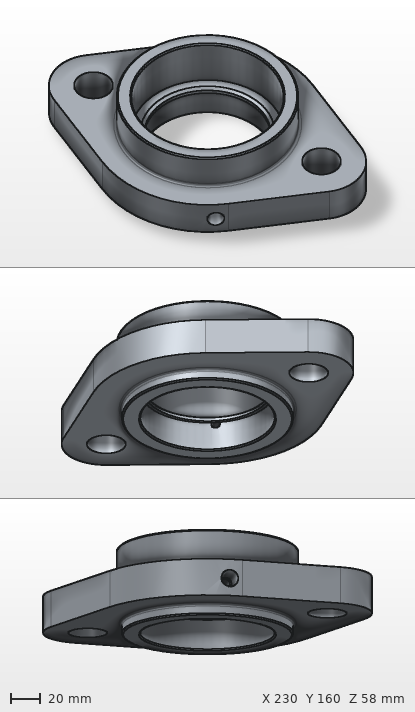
import cadquery as cq
import math

flange_thickness = 25.0
body_radius = 80.0
tip_radius = 30.0
bolt_offset = 85.0
bolt_hole_diameter = 26.0

collar_diameter = 122.0
collar_height = 25.0
spigot_diameter = 115.0
spigot_height = 8.0
root_fillet = 2.0
rim_chamfer = 1.0
top_z = flange_thickness + collar_height
bottom_z = -spigot_height

seat_diameter = 102.0
seat_depth = 33.0
bore_chamfer = 1.0
lip_diameter = 85.0
relief_diameter = 90.0
lip_chamfer_height = 1.5
lip_land_height = 2.5
seat_z = top_z - seat_depth
lip_top_z = seat_z - lip_chamfer_height
lip_bottom_z = lip_top_z - lip_land_height

port_angle = -60.0
port_z = 12.0
port_mouth_diameter = 11.45
port_inner_diameter = 8.38
port_taper_depth = 16.0
port_passage_diameter = 6.0


def make_flange():
    """Extrude the lozenge outline and drill the two bolt holes."""
    tangent_angle = math.asin((body_radius - tip_radius) / bolt_offset)
    normal_x = math.sin(tangent_angle)
    normal_y = math.cos(tangent_angle)
    body_x = body_radius * normal_x
    body_y = body_radius * normal_y
    tip_x = bolt_offset + tip_radius * normal_x
    tip_y = tip_radius * normal_y
    end_x = bolt_offset + tip_radius
    return (
        cq.Workplane("XY")
        .moveTo(-body_x, body_y)
        .threePointArc((0, body_radius), (body_x, body_y))
        .lineTo(tip_x, tip_y)
        .threePointArc((end_x, 0), (tip_x, -tip_y))
        .lineTo(body_x, -body_y)
        .threePointArc((0, -body_radius), (-body_x, -body_y))
        .lineTo(-tip_x, -tip_y)
        .threePointArc((-end_x, 0), (-tip_x, tip_y))
        .close()
        .extrude(flange_thickness)
        .pushPoints([(-bolt_offset, 0), (bolt_offset, 0)])
        .circle(bolt_hole_diameter / 2)
        .cutThruAll()
    )


def make_hub():
    """Revolve the collar and spigot, with concave fillets where they meet the flange."""
    collar_radius = collar_diameter / 2
    spigot_radius = spigot_diameter / 2
    fillet_inset = root_fillet * (1 - math.sqrt(0.5))
    return (
        cq.Workplane("XZ")
        .moveTo(0, bottom_z)
        .lineTo(spigot_radius - rim_chamfer, bottom_z)
        .lineTo(spigot_radius, bottom_z + rim_chamfer)
        .lineTo(spigot_radius, -root_fillet)
        .threePointArc((spigot_radius + fillet_inset, -fillet_inset), (spigot_radius + root_fillet, 0))
        .lineTo(collar_radius + root_fillet, flange_thickness)
        .threePointArc(
            (collar_radius + fillet_inset, flange_thickness + fillet_inset),
            (collar_radius, flange_thickness + root_fillet),
        )
        .lineTo(collar_radius, top_z - rim_chamfer)
        .lineTo(collar_radius - rim_chamfer, top_z)
        .lineTo(0, top_z)
        .close()
        .revolve(360, (0, 0, 0), (0, 1, 0))
    )


def make_bore():
    """Revolve the space inside the seat, lip and relieved bore."""
    seat_radius = seat_diameter / 2
    lip_radius = lip_diameter / 2
    relief_radius = relief_diameter / 2
    return (
        cq.Workplane("XZ")
        .moveTo(0, bottom_z)
        .lineTo(relief_radius + bore_chamfer, bottom_z)
        .lineTo(relief_radius, bottom_z + bore_chamfer)
        .lineTo(relief_radius, lip_bottom_z)
        .lineTo(lip_radius, lip_bottom_z)
        .lineTo(lip_radius, lip_top_z)
        .lineTo(relief_radius, seat_z)
        .lineTo(seat_radius, seat_z)
        .lineTo(seat_radius, top_z - bore_chamfer)
        .lineTo(seat_radius + bore_chamfer, top_z)
        .lineTo(0, top_z)
        .close()
        .revolve(360, (0, 0, 0), (0, 1, 0))
    )


def make_grease_port():
    """Build the port along +X, then swing it round to its angle; its mouth overshoots the rim."""
    overshoot = 1.0
    taper = (port_mouth_diameter - port_inner_diameter) / 2 / port_taper_depth
    taper_end_x = body_radius - port_taper_depth
    passage_radius = port_passage_diameter / 2
    passage_end_x = math.sqrt((relief_diameter / 2) ** 2 - passage_radius**2)
    port = (
        cq.Workplane("XY")
        .moveTo(passage_end_x, 0)
        .lineTo(passage_end_x, passage_radius)
        .lineTo(taper_end_x, passage_radius)
        .lineTo(taper_end_x, port_inner_diameter / 2)
        .lineTo(body_radius + overshoot, port_mouth_diameter / 2 + taper * overshoot)
        .lineTo(body_radius + overshoot, 0)
        .close()
        .revolve(360, (0, 0, 0), (1, 0, 0))
    )
    return port.translate((0, 0, port_z)).rotate((0, 0, 0), (0, 0, 1), port_angle)


result = make_flange().union(make_hub()).cut(make_bore()).cut(make_grease_port())